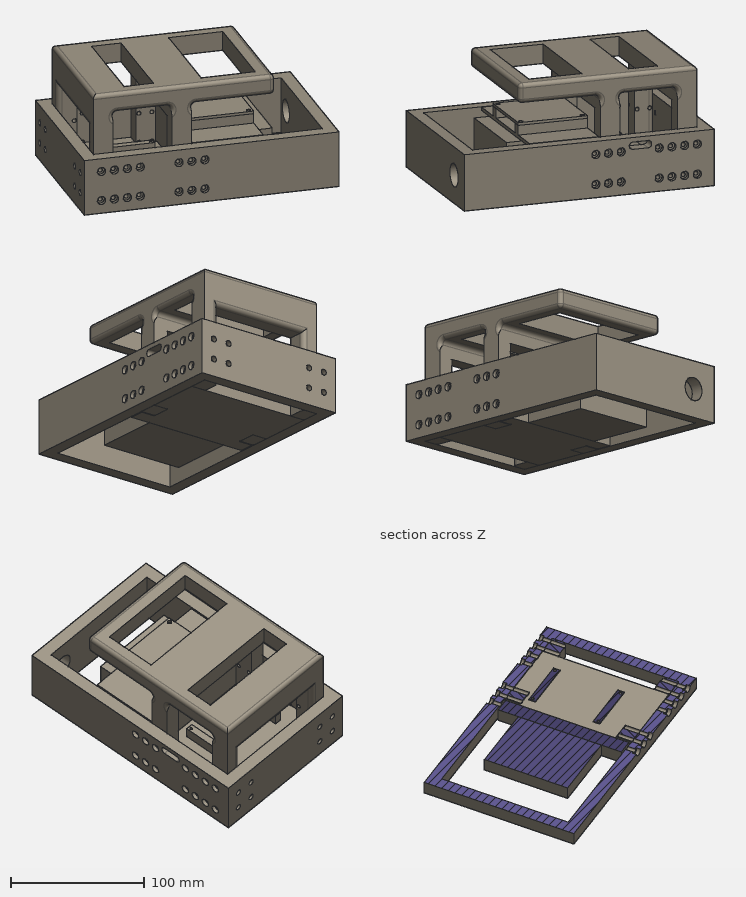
import cadquery as cq
import math

frame_width = 127.0
frame_length = 200.0
frame_height = 44.2
frame_wall = 10.16
inner_half_width = frame_width / 2 - frame_wall
inner_front = -frame_length / 2 + frame_wall

side_hole_pitch = 10.16
side_hole_dia = 3.2
side_bore_dia = 6.35
side_bore_depth = 3.2
side_hole_rear_y = -5.3
side_hole_front_y = -86.5
side_hole_ys = (
    [side_hole_rear_y - i * side_hole_pitch for i in range(3)]
    + [side_hole_front_y + i * side_hole_pitch for i in range(4)]
)
side_hole_zs = (10.35, 33.85)
end_hole_dia = 3.2
end_bore_dia = 4.57
end_bore_depth = 5.08
end_hole_xs = (-52.3, -38.3, 38.3, 52.3)
end_hole_zs = (13.97, 30.3)

cable_hole_x = -41.0
cable_hole_z = frame_height / 2
cable_hole_dia = 18.0

slot_length = 17.8
slot_height = 5.7
slot_y = -41.0
slot_z = 37.8

handle_top = 91.74
handle_length = 142.24
slab_thickness = 15.24
slab_bottom = handle_top - slab_thickness
leg_depth = 15.5
leg_width = 12.8
leg_gap = 46.2
arch_opening_half = inner_half_width - leg_width
arch_opening_top = 63.6
arch_rim_radius = 3.8
rim_margin = 1.0
handle_front = inner_front
mid_leg_front = handle_front + leg_depth + leg_gap
handle_rear = handle_front + handle_length
edge_radius = 3.2
corner_radius = 3.7
leg_hole_dia = 3.0
leg_hole_ys = side_hole_ys[1:5]

window_width = 84.4
rear_window_y = (-1.8, 40.6)
front_window_y = (-62.3, -39.3)

tray_half_width = inner_half_width
shelf_half_width = 52.3
floor_top = 9.9
tray_front = handle_front + leg_depth
shelf_front = -11.7
shelf_length = 55.5
shelf_rear = shelf_front + shelf_length
shelf_thickness = 2.54
shelf_top = frame_height
shelf_bottom = shelf_top - shelf_thickness
wall_thickness = 12.7

rail_width = 5.75
rail_top = 18.6
rail_front = -61.0
rail_rear = -20.3
rail_left = -22.8
rail_right = 37.3
rail_hole_inset = 2.3
rail_hole_dia = 1.9

board_width = 55.5
board_top = 53.9
board_thickness = 2.1
board_bottom = board_top - board_thickness
rib_width = 6.7
board_hole_inset = 3.1
board_hole_dia = 3.2

battery_half_width = 35.3
battery_rear = 56.0


def block(x0, x1, y0, y1, z0, z1):
    """Box between opposite corners."""
    return cq.Workplane("XY").box(x1 - x0, y1 - y0, z1 - z0, centered=False).translate((x0, y0, z0))


def rod_x(x0, x1, y, z, dia):
    """Cylinder along X."""
    return cq.Workplane("YZ", origin=(x0, y, z)).circle(dia / 2).extrude(x1 - x0)


def rod_y(x, y0, y1, z, dia):
    """Cylinder along Y."""
    return cq.Workplane("XZ", origin=(x, y0, z)).circle(dia / 2).extrude(y0 - y1)


def rod_z(x, y, z0, z1, dia):
    """Cylinder along Z."""
    return cq.Workplane("XY", origin=(x, y, z0)).circle(dia / 2).extrude(z1 - z0)


def make_frame():
    half_x = frame_width / 2
    half_y = frame_length / 2
    frame = block(-half_x, half_x, -half_y, half_y, 0, frame_height)
    frame = frame.cut(
        block(-inner_half_width, inner_half_width, inner_front, -inner_front, 0, frame_height)
    )
    for z in side_hole_zs:
        for y in side_hole_ys:
            frame = frame.cut(rod_x(-half_x, half_x, y, z, side_hole_dia))
            frame = frame.cut(rod_x(-half_x, side_bore_depth - half_x, y, z, side_bore_dia))
            frame = frame.cut(rod_x(half_x - side_bore_depth, half_x, y, z, side_bore_dia))
    for z in end_hole_zs:
        for x in end_hole_xs:
            frame = frame.cut(rod_y(x, -half_y, inner_front, z, end_hole_dia))
            frame = frame.cut(rod_y(x, -half_y, end_bore_depth - half_y, z, end_bore_dia))
    frame = frame.cut(rod_y(cable_hole_x, -inner_front, half_y, cable_hole_z, cable_hole_dia))
    slot = (
        cq.Workplane("YZ", origin=(-half_x, slot_y, slot_z))
        .slot2D(slot_length, slot_height)
        .extrude(frame_wall)
    )
    return frame.cut(slot)


def corner_ring(side, direction, y, z):
    """Cutter that carries the rounded slab edge around one inside corner on the side faces."""
    outer = corner_radius + edge_radius
    mid = edge_radius * (1 - math.sqrt(0.5))
    profile = (
        cq.Workplane("XZ", origin=(side * inner_half_width, y, z))
        .moveTo(0, outer)
        .threePointArc((-side * mid, corner_radius + mid), (-side * edge_radius, corner_radius))
        .lineTo(0, corner_radius)
        .close()
    )
    return profile.revolve(180, (0, 0, 0), (direction, 0, 0))


def make_slab():
    """Top slab, rounded all round except at its sharp front corners."""
    w = inner_half_width
    slab = block(-w, w, handle_front, handle_rear, slab_bottom, handle_top)
    slab = slab.edges("|Z and >Y").fillet(edge_radius)
    slab = slab.faces(">Z").edges().fillet(edge_radius)
    return slab.faces("<Z").edges("not <Y").fillet(edge_radius)


def add_legs(handle):
    """Two upright walls with concave corners under the slab."""
    w = inner_half_width
    web_top = slab_bottom + edge_radius
    corner_z = slab_bottom - corner_radius
    for y in (handle_front, mid_leg_front):
        handle = handle.union(block(-w, w, y, y + leg_depth, 0, web_top))

    inside_corners = [
        (handle_front + leg_depth, 1),
        (mid_leg_front, -1),
        (mid_leg_front + leg_depth, 1),
    ]
    for face_y, direction in inside_corners:
        corner_y = face_y + direction * corner_radius
        y0, y1 = sorted((face_y, corner_y))
        web = block(-w, w, y0, y1, corner_z, web_top)
        handle = handle.union(web.cut(rod_x(-w, w, corner_y, corner_z, 2 * corner_radius)))
    for face_y, direction in inside_corners:
        corner_y = face_y + direction * corner_radius
        for side in (-1, 1):
            handle = handle.cut(corner_ring(side, direction, corner_y, corner_z))
    return handle


def cut_arches(handle):
    """Straight passage through both walls, with a rounded rim on the front face."""
    half = arch_opening_half
    handle = handle.cut(block(-half, half, handle_front, handle_rear, 0, arch_opening_top))
    rim = cq.selectors.BoxSelector(
        (-half - rim_margin, handle_front - rim_margin, rim_margin),
        (half + rim_margin, handle_front + rim_margin, arch_opening_top + rim_margin),
    )
    return handle.edges(rim).fillet(arch_rim_radius)


def make_handle():
    handle = cut_arches(add_legs(make_slab()))
    half = window_width / 2
    for y0, y1 in (rear_window_y, front_window_y):
        handle = handle.cut(block(-half, half, y0, y1, slab_bottom, handle_top))
    for z in side_hole_zs:
        for y in leg_hole_ys:
            handle = handle.cut(rod_x(-inner_half_width, inner_half_width, y, z, leg_hole_dia))
    return handle


def make_tray():
    return add_ribs(add_rails(make_tray_plates()))


def make_tray_plates():
    """Floor running between the handle legs, upright wall and rear shelf."""
    narrow = arch_opening_half
    wide = tray_half_width
    shelf = shelf_half_width
    floor = block(-wide, wide, tray_front, mid_leg_front, 0, floor_top)
    neck = block(-narrow, narrow, mid_leg_front, shelf_front, 0, floor_top)
    wall = block(-shelf, shelf, shelf_front, shelf_front + wall_thickness, 0, shelf_top)
    top = block(-shelf, shelf, shelf_front, shelf_rear, shelf_bottom, shelf_top)
    return floor.union(neck).union(wall).union(top)


def add_rails(tray):
    """Two rails on the floor, each with a screw hole near both ends."""
    for outer_x, inward in ((rail_left, 1), (rail_right, -1)):
        x0, x1 = sorted((outer_x, outer_x + inward * rail_width))
        tray = tray.union(block(x0, x1, rail_front, rail_rear, floor_top, rail_top))
        hole_x = outer_x + inward * rail_hole_inset
        for y in (rail_front + rail_hole_inset, rail_rear - rail_hole_inset):
            tray = tray.cut(rod_z(hole_x, y, floor_top, rail_top, rail_hole_dia))
    return tray


def add_ribs(tray):
    """Two ribs on the shelf that carry the board along its sides."""
    half = board_width / 2
    for x0 in (-half, half - rib_width):
        rib = block(x0, x0 + rib_width, shelf_front, shelf_rear, shelf_top, board_bottom)
        tray = tray.union(rib)
    return tray


def make_board():
    half = board_width / 2
    board = block(-half, half, shelf_front, shelf_rear, board_bottom, board_top)
    for x in (board_hole_inset - half, half - board_hole_inset):
        for y in (shelf_front + board_hole_inset, shelf_rear - board_hole_inset):
            board = board.cut(rod_z(x, y, board_bottom, board_top, board_hole_dia))
    return board


def make_battery_box():
    w = battery_half_width
    return block(-w, w, shelf_front + wall_thickness, battery_rear, 0, shelf_bottom)


frame = make_frame()
handle = make_handle()
tray = make_tray()
board = make_board()
battery_box = make_battery_box()
result = cq.Compound.makeCompound(
    [frame.val(), handle.val(), tray.val(), board.val(), battery_box.val()]
)